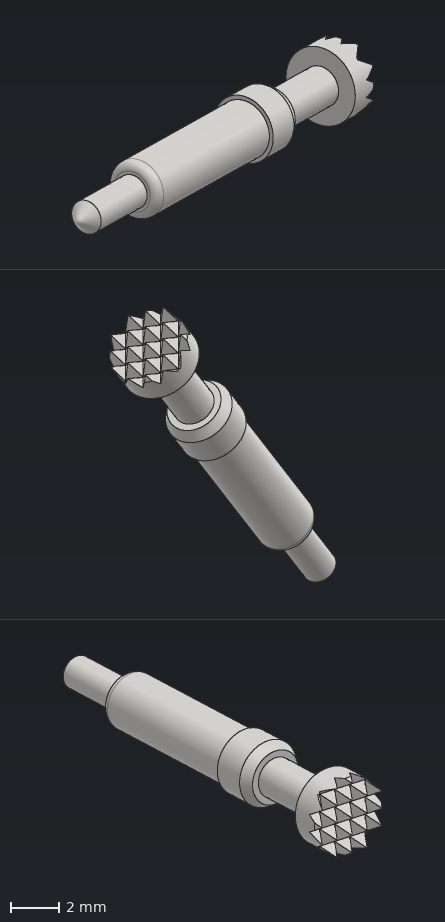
import cadquery as cq
import math

LENGTH = 19.2
HEAD_DIAMETER = 3.5

NECK_DIAMETER = 1.8
COLLAR_DIAMETER = 3.0
BARREL_DIAMETER = 2.61
TAIL_DIAMETER = 1.5

POINT_LENGTH = TAIL_DIAMETER / 2
TAIL_LENGTH = 4.05
BARREL_LENGTH = 8.0
COLLAR_LENGTH = 2.0
HEAD_LENGTH = 1.6

BARREL_END_RADIUS = 0.4
COLLAR_CHAMFER_LENGTH = 0.5
COLLAR_CHAMFER_WIDTH = 0.29

TEETH_ACROSS = 5
TOOTH_PITCH = 0.79
GROOVE_ANGLE = 60.0
GROOVE_DEPTH = TOOTH_PITCH / 2 / math.tan(math.radians(GROOVE_ANGLE / 2))

TIP_Y = -LENGTH / 2
POINT_BASE_Y = TIP_Y + POINT_LENGTH
BARREL_START_Y = TIP_Y + TAIL_LENGTH
COLLAR_START_Y = BARREL_START_Y + BARREL_LENGTH
COLLAR_END_Y = COLLAR_START_Y + COLLAR_LENGTH
CROWN_Y = LENGTH / 2
HEAD_START_Y = CROWN_Y - HEAD_LENGTH


def turned_body():
    """Revolve the half profile of the pin about the Y axis."""
    head_r = HEAD_DIAMETER / 2
    neck_r = NECK_DIAMETER / 2
    collar_r = COLLAR_DIAMETER / 2
    barrel_r = BARREL_DIAMETER / 2
    tail_r = TAIL_DIAMETER / 2

    profile = (
        cq.Workplane("XY")
        .moveTo(0, TIP_Y)
        .lineTo(tail_r, POINT_BASE_Y)
        .lineTo(tail_r, BARREL_START_Y)
        .lineTo(barrel_r - BARREL_END_RADIUS, BARREL_START_Y)
        .radiusArc((barrel_r, BARREL_START_Y + BARREL_END_RADIUS), -BARREL_END_RADIUS)
        .lineTo(barrel_r, COLLAR_START_Y)
        .lineTo(collar_r, COLLAR_START_Y)
        .lineTo(collar_r, COLLAR_END_Y - COLLAR_CHAMFER_LENGTH)
        .lineTo(collar_r - COLLAR_CHAMFER_WIDTH, COLLAR_END_Y)
        .lineTo(neck_r, COLLAR_END_Y)
        .lineTo(neck_r, HEAD_START_Y)
        .lineTo(head_r, HEAD_START_Y)
        .lineTo(head_r, CROWN_Y)
        .lineTo(0, CROWN_Y)
        .close()
    )
    return profile.revolve(360, (0, 0, 0), (0, 1, 0))


def groove_row():
    """Comb of V grooves running along Z, with its ridges touching the crown face."""
    half_width = (TEETH_ACROSS + 1) * TOOTH_PITCH / 2
    above_crown_y = CROWN_Y + GROOVE_DEPTH
    points = [(-half_width, above_crown_y)]
    for i in range(TEETH_ACROSS + 1):
        groove_x = (i - TEETH_ACROSS / 2) * TOOTH_PITCH
        points.append((groove_x - TOOTH_PITCH / 2, CROWN_Y))
        points.append((groove_x, CROWN_Y - GROOVE_DEPTH))
    points.append((half_width, CROWN_Y))
    points.append((half_width, above_crown_y))
    return cq.Workplane("XY").polyline(points).close().extrude(HEAD_DIAMETER, both=True)


grooves_along_z = groove_row()
grooves_along_x = grooves_along_z.rotate((0, 0, 0), (0, 1, 0), 90)

result = turned_body().cut(grooves_along_z).cut(grooves_along_x)